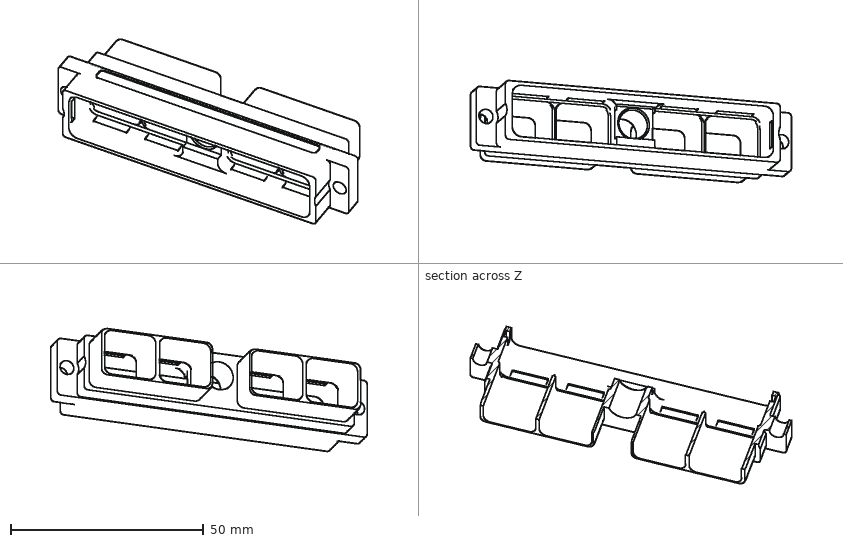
import cadquery as cq
flange_length = 85.9
body_height = 15.9
total_depth = 26.7

flange_front = 7.7
flange_rear = 12.7
shell_rear = 17.9

shell_length = 74.9
collar_height = 15.3
edge_radius = 1.0

sleeve_length = 31.1
sleeve_height = 13.3
sleeve_centre = 20.5
sleeve_radius = 1.9
tip_depth = 0.8
tip_inset = 0.2

mount_offset = 40.3
mount_diameter = 3.8
screw_clearance_radius = 3.3

cavity_length = 71.1
cavity_height = 13.8
cavity_radius = 2.5
cavity_depth = 10.7
lead_in_depth = 0.8
lead_in_height = 0.5

window_length = 14.2
window_height = 12.2
window_radius = 2.0
bevel_depth = 0.5

block_width = 10.3
block_front = 6.0
ledge_top = -3.0
recess_top = 5.8
recess_depth = 2.0

port_radius = 3.9
port_chamfer = 0.4

notch_length = 9.8
notch_front = 8.2
notch_rear = 10.05
notch_depth = 0.5
end_slot_front = 1.5
end_slot_rear = 3.3
end_slot_height = 7.05
end_slot_depth = 1.0

label_length = 65.1
label_front = 8.5
label_rear = 11.9
label_radius = 1.0
label_depth = 0.35

pocket_length = (cavity_length - block_width) / 2
pocket_centre = (cavity_length + block_width) / 4
throat_front = cavity_depth + lead_in_depth
throat_height = cavity_height - 2 * lead_in_height
window_mouth_length = pocket_length / 2
port_z = (ledge_top + recess_top) / 2
sides = (-1, 1)


def bar(length, height, front, rear, radius, x=0.0):
    """A bar along Y, centred at the given X, with its four long edges rounded."""
    block = cq.Workplane("XY").box(length, rear - front, height)
    return block.edges("|Y").fillet(radius).translate((x, (front + rear) / 2, 0))


def box_between(x_range, y_range, z_range):
    """A plain box spanning the given ranges."""
    spans = [high - low for low, high in (x_range, y_range, z_range)]
    corner = (x_range[0], y_range[0], z_range[0])
    return cq.Workplane("XY").box(*spans, centered=False).translate(corner)


def tapered(front_size, rear_size, front, rear, x):
    """A rounded bar along Y; each size is (length, height, corner radius)."""
    sections = []
    for length, height, radius in (front_size, rear_size):
        sections.append(cq.Sketch().rect(length, height).vertices().fillet(radius))
    sections[1] = sections[1].moved(cq.Location(cq.Vector(0, 0, rear - front)))
    plane = cq.Plane(origin=(x, front, 0), xDir=(-1, 0, 0), normal=(0, 1, 0))
    return cq.Workplane(plane).placeSketch(*sections).loft()


def cylinder(radius, front, rear, x, z):
    """A round bar along Y."""
    plane = cq.Plane(origin=(x, front, z), xDir=(-1, 0, 0), normal=(0, 1, 0))
    return cq.Workplane(plane).circle(radius).extrude(rear - front)


def sleeve(side):
    """A rear sleeve with slightly drawn-in edges at its tip."""
    x = side * sleeve_centre
    tip_start = total_depth - tip_depth
    base_size = (sleeve_length, sleeve_height, sleeve_radius)
    tip_size = (sleeve_length - 2 * tip_inset, sleeve_height - 2 * tip_inset, sleeve_radius - tip_inset)
    base = bar(sleeve_length, sleeve_height, flange_rear, tip_start, sleeve_radius, x)
    return base.union(tapered(base_size, tip_size, tip_start, total_depth, x))


def outer_body():
    """Shell, collar and sleeves, with the screw-head grooves, then the flange with its holes."""
    shell = bar(shell_length, body_height, 0, flange_rear, edge_radius)
    collar = bar(shell_length, collar_height, flange_front, shell_rear, edge_radius)
    body = shell.union(collar)
    for side in sides:
        body = body.cut(cylinder(screw_clearance_radius, 0, shell_rear, side * mount_offset, 0))
    body = body.union(bar(flange_length, body_height, flange_front, flange_rear, edge_radius))
    for side in sides:
        body = body.union(sleeve(side))
        body = body.cut(cylinder(mount_diameter / 2, flange_front, flange_rear, side * mount_offset, 0))
    return body


def window_centres(side):
    """X positions of the two windows on one side."""
    return [side * pocket_centre + step * window_mouth_length / 2 for step in sides]


def window(x):
    """A window from the pocket out through the rear: bevelled sides, then a slight vertical draft."""
    bevel_rear = throat_front + bevel_depth
    bevel_width = (window_mouth_length - window_length) / 2
    draft_slope = (throat_height - window_height) / (total_depth - throat_front)
    bevel_rear_height = throat_height - draft_slope * bevel_depth
    mouth_size = (window_mouth_length, throat_height, window_radius + bevel_width)
    bevel_size = (window_length, bevel_rear_height, window_radius)
    rear_size = (window_length, window_height, window_radius)
    bevel = tapered(mouth_size, bevel_size, throat_front, bevel_rear, x)
    return bevel.union(tapered(bevel_size, rear_size, bevel_rear, total_depth, x))


def pocket(side):
    """The pocket beside the middle block, with its floor and roof closing in at the rear."""
    x = side * pocket_centre
    mouth_size = (pocket_length, cavity_height, cavity_radius)
    throat_size = (pocket_length, throat_height, cavity_radius)
    straight = bar(pocket_length, cavity_height, 0, cavity_depth, cavity_radius, x)
    return straight.union(tapered(mouth_size, throat_size, cavity_depth, throat_front, x))


def port():
    """The recess across the middle block and the chamfered round hole behind it."""
    half_width = block_width / 2
    wall = block_front + recess_depth
    recess = box_between((-half_width, half_width), (block_front, wall), (ledge_top, recess_top))
    hole = cylinder(port_radius, wall, shell_rear, 0, port_z)
    plane = cq.Plane(origin=(0, wall, port_z), xDir=(-1, 0, 0), normal=(0, 1, 0))
    mouth = cq.Workplane(plane).circle(port_radius + port_chamfer).workplane(offset=port_chamfer)
    return recess.union(hole).union(mouth.circle(port_radius).loft())


def latch_notch(x):
    """A ramped notch in the cavity floor, deepest at its front."""
    floor = -cavity_height / 2
    profile = [(notch_front, floor), (notch_front, floor - notch_depth), (notch_rear, floor)]
    ramp = cq.Workplane("YZ").polyline(profile).close().extrude(notch_length)
    return ramp.translate((x - notch_length / 2, 0, 0))


def end_slot():
    """A slot across the +X end wall of the cavity."""
    wall = cavity_length / 2
    half_height = end_slot_height / 2
    return box_between(
        (wall, wall + end_slot_depth), (end_slot_front, end_slot_rear), (-half_height, half_height)
    )


def label_panel():
    """A shallow rounded panel in the top face."""
    panel = cq.Workplane("XY").box(label_length, label_rear - label_front, label_depth)
    panel = panel.edges("|Z").fillet(label_radius)
    return panel.translate((0, (label_front + label_rear) / 2, (body_height - label_depth) / 2))


mouth = bar(cavity_length, cavity_height, 0, block_front, cavity_radius)
result = outer_body().cut(mouth).cut(port()).cut(label_panel())
for side in sides:
    result = result.cut(pocket(side))
    for centre in window_centres(side):
        notch = latch_notch(centre)
        result = result.cut(window(centre)).cut(notch).cut(notch.mirror("XY"))
slot = end_slot()
result = result.cut(slot).cut(slot.mirror("YZ"))